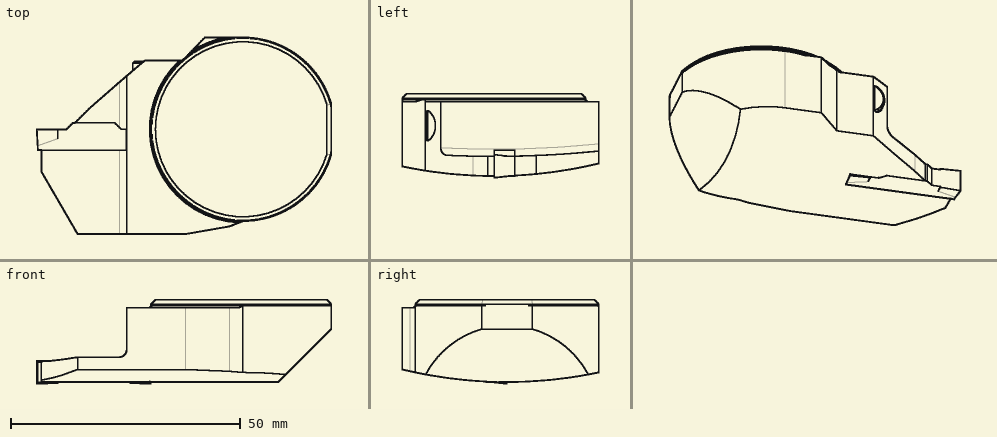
import cadquery as cq

TOTAL_HEIGHT = 18.35
DECK_Z = 16.6
FLOOR_Z = 0.4
UNDERSIDE_RADIUS = 96.15
ARM_TOP_Z = 4.7
ARM_TOP_RADIUS = 224.35

HEAD_RADIUS = 20.0
HEAD_CHAMFER = 0.95
GROOVE_TOP_Z = 17.25
GROOVE_BOTTOM_Z = 17.0
GROOVE_DEPTH = 0.2
FOOT_FLARE = 0.3
FLAT_X = 19.2
RELIEF_Z = 11.9

ARM_END_X = -43.85
ARM_CORNER_Y = -9.2
ARM_SIDE_X = -35.95
WALL_X = -25.3
WALL_FILLET = 1.6
SIDE_Y = -22.8
SHANK_BEND_X = -12.5
SHANK_TOE = (-2.95, -21.15)
BACK_Y = 15.0
BACK_CORNER_X = -21.3
EAR_FOOT_X = -13.1
EAR_TIP_X = -8.3
FLANK_MIDDLE = (-27.7, 9.55)
FLANK_END = (-33.3, 4.6)

SCREW_X = -20.2
SCREW_Z = 11.35
SCREW_RADIUS = 3.8
SCREW_START_Y = 7.7
SCREW_END_Y = 14.75
SCREW_CHAMFER = 0.4

INSERT_TIP_X = -44.9
INSERT_LENGTH = 24.9
INSERT_WIDTH = 4.55
INSERT_MIDDLE_X = INSERT_TIP_X + INSERT_LENGTH / 2
INSERT_END_SLANT = 0.25
LUG_DEPTH = 1.4
LUG_HALF_BASE = 5.95
LUG_HALF_TOP = LUG_HALF_BASE - LUG_DEPTH
TIP_RISE = FLOOR_Z
TIP_LENGTH = 4.55
TIP_FRONT_WIDTH = 3.5
TIP_REAR_WIDTH = 2.0
POCKET_TOP_Z = 5.95

EXTRA = 6.4
PART_SPAN = 128.2


def extrude_up(outline, bottom_z, top_z):
    return outline.extrude(top_z - bottom_z).translate((0, 0, bottom_z))


def x_cylinder(bottom_z, radius):
    """A long cylinder along X whose lowest line is at Y = 0, Z = bottom_z."""
    return (
        cq.Workplane("YZ")
        .center(0, bottom_z + radius)
        .circle(radius)
        .extrude(PART_SPAN, both=True)
    )


def holder_outline():
    return (
        cq.Workplane("XY")
        .moveTo(ARM_END_X, 0)
        .lineTo(ARM_END_X, ARM_CORNER_Y)
        .lineTo(ARM_SIDE_X, SIDE_Y)
        .lineTo(SHANK_BEND_X, SIDE_Y)
        .lineTo(*SHANK_TOE)
        .lineTo(0, -HEAD_RADIUS)
        .threePointArc((HEAD_RADIUS, 0), (0, HEAD_RADIUS))
        .lineTo(EAR_TIP_X, HEAD_RADIUS)
        .lineTo(EAR_FOOT_X, BACK_Y)
        .lineTo(BACK_CORNER_X, BACK_Y)
        .threePointArc(FLANK_MIDDLE, FLANK_END)
        .lineTo(FLANK_END[0] - FLANK_END[1], 0)
        .close()
    )


def round_head():
    groove_radius = HEAD_RADIUS - GROOVE_DEPTH
    profile = (
        cq.Workplane("XZ")
        .moveTo(0, DECK_Z)
        .lineTo(HEAD_RADIUS + FOOT_FLARE, DECK_Z)
        .lineTo(HEAD_RADIUS, GROOVE_BOTTOM_Z)
        .lineTo(groove_radius, GROOVE_BOTTOM_Z)
        .lineTo(groove_radius, GROOVE_TOP_Z)
        .lineTo(HEAD_RADIUS, GROOVE_TOP_Z)
        .lineTo(HEAD_RADIUS, TOTAL_HEIGHT - HEAD_CHAMFER)
        .lineTo(HEAD_RADIUS - HEAD_CHAMFER, TOTAL_HEIGHT)
        .lineTo(0, TOTAL_HEIGHT)
        .close()
    )
    head = profile.revolve(360, (0, 0), (0, 1))
    foot = head.intersect(extrude_up(holder_outline(), DECK_Z, GROOVE_BOTTOM_Z))
    cap = head.intersect(
        extrude_up(cq.Workplane("XY").circle(2 * HEAD_RADIUS), GROOVE_BOTTOM_Z, TOTAL_HEIGHT)
    )
    return foot.union(cap)


def arm_clearance():
    """The space above the arm, with its curved floor and rounded inner corner."""
    length = WALL_X - INSERT_TIP_X + EXTRA
    block = cq.Workplane("XY").box(length, PART_SPAN, DECK_Z + EXTRA, centered=(False, True, False))
    block = block.translate((INSERT_TIP_X - EXTRA, 0, 0))
    clearance = block.intersect(x_cylinder(ARM_TOP_Z, ARM_TOP_RADIUS))
    inner_corner = cq.selectors.BoxSelector(
        (WALL_X - 0.65, -PART_SPAN, 0), (WALL_X + 0.65, PART_SPAN, DECK_Z), boundingbox=False
    )
    return clearance.edges(inner_corner).edges("<Z").fillet(WALL_FILLET)


def side_flat_and_relief():
    """Cutter for the flat, its top chamfer and the 45 degree relief below it."""
    far_x = FLAT_X + EXTRA
    relief_end_x = FLAT_X - RELIEF_Z - EXTRA
    return (
        cq.Workplane("XZ")
        .polyline([
            (FLAT_X - HEAD_CHAMFER, TOTAL_HEIGHT),
            (FLAT_X, TOTAL_HEIGHT - HEAD_CHAMFER),
            (FLAT_X, RELIEF_Z),
            (relief_end_x, -EXTRA),
            (far_x, -EXTRA),
            (far_x, TOTAL_HEIGHT),
        ])
        .close()
        .extrude(PART_SPAN, both=True)
    )


def screw_end():
    return (
        cq.Workplane("XZ", origin=(SCREW_X, SCREW_START_Y, SCREW_Z))
        .circle(SCREW_RADIUS)
        .extrude(SCREW_START_Y - SCREW_END_Y)
        .faces(">Y")
        .chamfer(SCREW_CHAMFER)
    )


def insert_outline():
    tip_x = INSERT_TIP_X
    rear_x = INSERT_TIP_X + INSERT_LENGTH
    return (
        cq.Workplane("XY")
        .polyline([
            (tip_x, 0),
            (INSERT_MIDDLE_X - LUG_HALF_BASE, 0),
            (INSERT_MIDDLE_X - LUG_HALF_TOP, LUG_DEPTH),
            (INSERT_MIDDLE_X + LUG_HALF_TOP, LUG_DEPTH),
            (INSERT_MIDDLE_X + LUG_HALF_BASE, 0),
            (rear_x, 0),
            (rear_x - INSERT_END_SLANT, -INSERT_WIDTH),
            (tip_x + INSERT_END_SLANT, -INSERT_WIDTH),
        ])
        .close()
    )


def cutting_tip():
    """Facet on the insert top that slopes up to the front cutting corner, with a step behind it."""
    front_x = INSERT_TIP_X
    rear_x = INSERT_TIP_X + TIP_LENGTH
    slant_at_facet = INSERT_END_SLANT * TIP_FRONT_WIDTH / INSERT_WIDTH
    rear_rise = TIP_RISE * TIP_REAR_WIDTH / TIP_FRONT_WIDTH
    front_foot = cq.Vector(front_x, 0, ARM_TOP_Z)
    rear_foot = cq.Vector(rear_x, 0, ARM_TOP_Z)
    front_peak = front_foot + cq.Vector(0, 0, TIP_RISE)
    rear_peak = rear_foot + cq.Vector(0, 0, rear_rise)
    front_toe = front_foot + cq.Vector(slant_at_facet, -TIP_FRONT_WIDTH, 0)
    rear_toe = rear_foot + cq.Vector(0, -TIP_REAR_WIDTH, 0)
    front = cq.Wire.makePolygon([front_foot, front_peak, front_toe], close=True)
    rear = cq.Wire.makePolygon([rear_foot, rear_peak, rear_toe], close=True)
    return cq.Workplane(cq.Solid.makeLoft([front, rear], True))


def make_insert():
    body = extrude_up(insert_outline(), FLOOR_Z, ARM_TOP_Z)
    middle = (INSERT_MIDDLE_X, 0, (FLOOR_Z + ARM_TOP_Z) / 2)
    front_top = cutting_tip()
    front_bottom = front_top.mirror("XY", middle)
    for tip in (front_top, front_bottom):
        body = body.union(tip).union(tip.mirror("YZ", middle))
    return body


def make_holder():
    shank = extrude_up(holder_outline(), 0, DECK_Z)
    body = shank.intersect(x_cylinder(FLOOR_Z, UNDERSIDE_RADIUS))
    body = body.cut(arm_clearance())
    body = body.union(round_head())
    body = body.union(screw_end())
    body = body.cut(side_flat_and_relief())
    pocket = extrude_up(insert_outline(), -EXTRA, POCKET_TOP_Z)
    return body.cut(pocket)


holder = make_holder()
insert = make_insert()
result = cq.Compound.makeCompound([*holder.solids().vals(), *insert.solids().vals()])